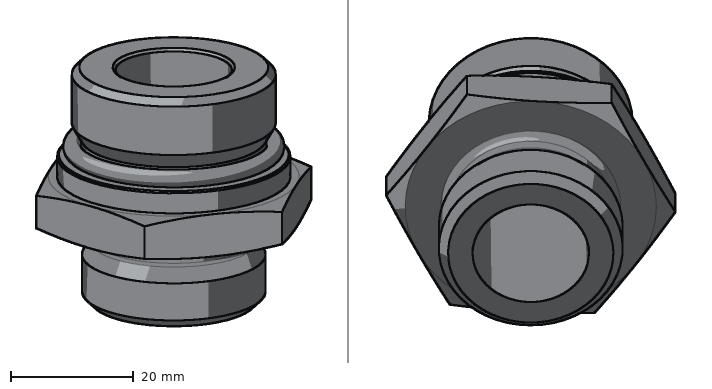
import cadquery as cq
import math

TOTAL_HEIGHT = 40.1
LOWER_THREAD_TOP = 7.9
HEX_BOTTOM = 14.0
HEX_TOP = 21.3
COLLAR_TOP = 25.05
UPPER_THREAD_BOTTOM = 30.55

LOWER_THREAD_RADIUS = 30.0 / 2
NECK_RADIUS = 27 / 2
COLLAR_RADIUS = 38.1 / 2
GROOVE_RADIUS = 30.35 / 2
UPPER_THREAD_RADIUS = 33.35 / 2
BORE_RADIUS = 19.0 / 2

LOWER_CHAMFER = LOWER_THREAD_RADIUS - NECK_RADIUS
UPPER_CHAMFER = 1.25
COLLAR_CHAMFER = 0.3
BORE_CHAMFER = 0.45
RELIEF_ANGLE = math.radians(30)
NECK_FILLET = 1.2

HEX_CORNER_RADIUS = 47.35 / 2
HEX_FLAT_RADIUS = HEX_CORNER_RADIUS * math.cos(math.pi / 6)
HEX_CHAMFER_ANGLE = math.radians(15)

O_RING_SECTION_RADIUS = 2.9 / 2
O_RING_CENTER_RADIUS = GROOVE_RADIUS + O_RING_SECTION_RADIUS
O_RING_CENTER_HEIGHT = COLLAR_TOP + O_RING_SECTION_RADIUS


def make_lower_end():
    """Lower threaded end with a chamfered tip, run-out cone and relief neck."""
    cone_height = (LOWER_THREAD_RADIUS - NECK_RADIUS) / math.tan(RELIEF_ANGLE)
    cone_top = LOWER_THREAD_TOP + cone_height
    blend_tangent = NECK_FILLET * math.tan(RELIEF_ANGLE / 2)
    blend_start = (
        NECK_RADIUS + blend_tangent * math.sin(RELIEF_ANGLE),
        cone_top - blend_tangent * math.cos(RELIEF_ANGLE),
    )
    blend_end = (NECK_RADIUS, cone_top + blend_tangent)
    return (
        cq.Workplane("XZ")
        .lineTo(LOWER_THREAD_RADIUS - LOWER_CHAMFER, 0)
        .lineTo(LOWER_THREAD_RADIUS, LOWER_CHAMFER)
        .lineTo(LOWER_THREAD_RADIUS, LOWER_THREAD_TOP)
        .lineTo(*blend_start)
        .radiusArc(blend_end, NECK_FILLET)
        .lineTo(NECK_RADIUS, HEX_BOTTOM - NECK_FILLET)
        .radiusArc((NECK_RADIUS + NECK_FILLET, HEX_BOTTOM), NECK_FILLET)
        .lineTo(0, HEX_BOTTOM)
        .close()
        .revolve(360, (0, 0), (0, 1))
    )


def make_hexagon():
    """Wrench hexagon with conically chamfered corners."""
    hexagon = (
        cq.Workplane("XY")
        .workplane(offset=HEX_BOTTOM)
        .polygon(6, 2 * HEX_CORNER_RADIUS)
        .extrude(HEX_TOP - HEX_BOTTOM)
        .rotate((0, 0, 0), (0, 0, 1), 90)
    )
    corner_drop = (HEX_CORNER_RADIUS - HEX_FLAT_RADIUS) * math.tan(HEX_CHAMFER_ANGLE)
    chamfer_envelope = (
        cq.Workplane("XZ")
        .moveTo(0, HEX_BOTTOM)
        .lineTo(HEX_FLAT_RADIUS, HEX_BOTTOM)
        .lineTo(HEX_CORNER_RADIUS, HEX_BOTTOM + corner_drop)
        .lineTo(HEX_CORNER_RADIUS, HEX_TOP - corner_drop)
        .lineTo(HEX_FLAT_RADIUS, HEX_TOP)
        .lineTo(0, HEX_TOP)
        .close()
        .revolve(360, (0, 0), (0, 1))
    )
    return hexagon.intersect(chamfer_envelope)


def make_upper_end():
    """Collar, O-ring groove and upper threaded end with a chamfered tip."""
    cone_height = (UPPER_THREAD_RADIUS - GROOVE_RADIUS) / math.tan(RELIEF_ANGLE)
    return (
        cq.Workplane("XZ")
        .moveTo(0, HEX_TOP)
        .lineTo(COLLAR_RADIUS, HEX_TOP)
        .lineTo(COLLAR_RADIUS, COLLAR_TOP - COLLAR_CHAMFER)
        .lineTo(COLLAR_RADIUS - COLLAR_CHAMFER, COLLAR_TOP)
        .lineTo(GROOVE_RADIUS, COLLAR_TOP)
        .lineTo(GROOVE_RADIUS, UPPER_THREAD_BOTTOM - cone_height)
        .lineTo(UPPER_THREAD_RADIUS, UPPER_THREAD_BOTTOM)
        .lineTo(UPPER_THREAD_RADIUS, TOTAL_HEIGHT - UPPER_CHAMFER)
        .lineTo(UPPER_THREAD_RADIUS - UPPER_CHAMFER, TOTAL_HEIGHT)
        .lineTo(0, TOTAL_HEIGHT)
        .close()
        .revolve(360, (0, 0), (0, 1))
    )


def make_bore():
    """Through bore, widened by a chamfer at the upper end."""
    return (
        cq.Workplane("XZ")
        .lineTo(BORE_RADIUS, 0)
        .lineTo(BORE_RADIUS, TOTAL_HEIGHT - BORE_CHAMFER)
        .lineTo(BORE_RADIUS + BORE_CHAMFER, TOTAL_HEIGHT)
        .lineTo(0, TOTAL_HEIGHT)
        .close()
        .revolve(360, (0, 0), (0, 1))
    )


def make_fitting():
    """Complete hexagon fitting in one piece."""
    outside = make_lower_end().union(make_hexagon()).union(make_upper_end())
    return outside.cut(make_bore()).solids()


def make_o_ring():
    """O-ring seated on the floor of the groove and on the collar."""
    return (
        cq.Workplane("XZ")
        .center(O_RING_CENTER_RADIUS, O_RING_CENTER_HEIGHT)
        .circle(O_RING_SECTION_RADIUS)
        .revolve(360, (-O_RING_CENTER_RADIUS, 0), (-O_RING_CENTER_RADIUS, 1))
    )


fitting = make_fitting()
o_ring = make_o_ring()

result = cq.Compound.makeCompound([fitting.val(), o_ring.val()])